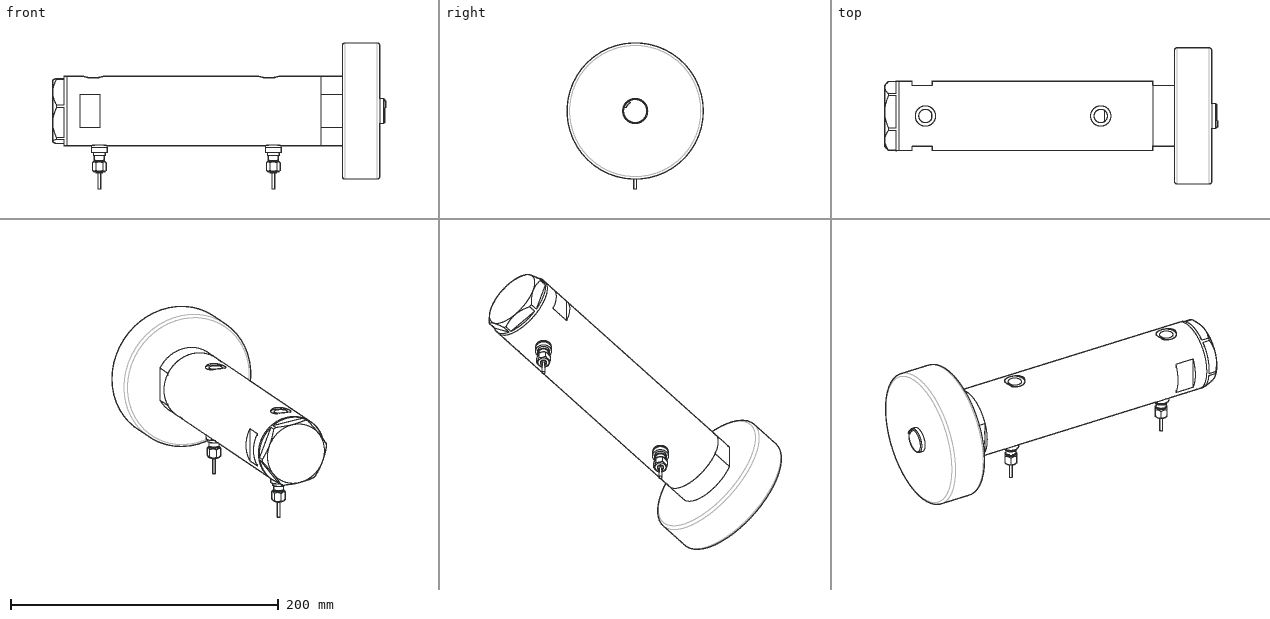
import cadquery as cq
import math


body_radius = 26.0
bore_radius = 17.0
gland_radius = 22.5
rod_radius = 11.5
wrench_across_flats = 45.6

cap_hex_length = 8.5
cap_collar_length = 2.1
tube_start = cap_hex_length + cap_collar_length
tube_end = 200.5
piston_end = 34.9
gland_start = 164.3
flange_start = 216.5
flange_thickness = 28.0
flange_end = flange_start + flange_thickness
overall_length = 249.02

cap_across_flats = 46.0
cap_chamfer_length = 2.9
cap_end_radius = 22.9
cap_corner_angle = 7.8

flat_start = 20.5
flat_length = 15.0

port_stations = (30.5, 161.5)
port_diameter = 10.0
spotface_diameter = 15.2
spotface_height = 24.8

flange_radius = 51.0
flange_fillet = 2.0
spigot_radius = 9.4
spigot_chamfer = 0.8
spigot_end = 248.2
key_inner_radius = 7.2
key_outer_radius = spigot_radius - spigot_chamfer
key_start_angle = 20.0
key_sweep = 40.0

sensor_stations = (34.9, 164.9)
sensor_seat_depth = 25.3
sensor_head_diameter = 11.7
sensor_head_rim_depth = 27.1
sensor_rim_diameter = 11.9
sensor_head_depth = 31.1
sensor_shoulder_diameter = 9.0
sensor_shoulder_depth = 33.4
sensor_body_diameter = 7.6
sensor_body_depth = 36.9
sensor_neck_diameter = 5.8
nut_top_depth = 37.6
nut_bottom_depth = 45.4
nut_across_flats = 9.0
nut_chamfer = 1.1
cable_sleeve_diameter = 4.6
cable_sleeve_depth = 46.2
cable_diameter = 2.2
cable_depth = 58.3


def cylinder_along_x(start, end, radius):
    return cq.Workplane("YZ").workplane(offset=start).circle(radius).extrude(end - start)


def cylinder_down(station, top_depth, bottom_depth, diameter):
    plane = cq.Workplane("XY", origin=(station, 0, -top_depth))
    return plane.circle(diameter / 2).extrude(top_depth - bottom_depth)


def hexagon_corner_diameter(flats):
    return flats / math.cos(math.radians(30))


def cut_wrench_flats(part, start, length):
    """Mill two parallel flats on the -Y and +Y sides."""
    cut_width = body_radius
    for side in (-1, 1):
        centre_y = side * (wrench_across_flats + cut_width) / 2
        block = cq.Workplane("XY").box(length, cut_width, 2 * body_radius)
        part = part.cut(block.translate((start + length / 2, centre_y, 0)))
    return part


def make_cap():
    """Hexagon with turned corners and a chamfered end, on a round collar."""
    turned = cylinder_along_x(cap_chamfer_length, cap_hex_length, body_radius)
    end_cone = (
        cq.Workplane("YZ")
        .circle(cap_end_radius)
        .workplane(offset=cap_chamfer_length)
        .circle(body_radius)
        .loft()
    )
    hexagon = (
        cq.Workplane("YZ")
        .polygon(6, hexagon_corner_diameter(cap_across_flats))
        .extrude(cap_hex_length)
        .rotate((0, 0, 0), (1, 0, 0), -cap_corner_angle)
    )
    collar = cylinder_along_x(cap_hex_length, tube_start, body_radius)
    return turned.union(end_cone).intersect(hexagon).union(collar)


def make_tube():
    """Tube with stepped bore, wrench flats, ports on top and sensor seats below."""
    tube = cylinder_along_x(tube_start, tube_end, body_radius)
    tube = cut_wrench_flats(tube, flat_start, flat_length)
    for station in port_stations:
        spotface = cylinder_down(station, -body_radius, -spotface_height, spotface_diameter)
        port = cylinder_down(station, -body_radius, 0, port_diameter)
        tube = tube.cut(spotface).cut(port)
    for station in sensor_stations:
        seat = cylinder_down(station, sensor_seat_depth, body_radius, sensor_head_diameter)
        tube = tube.cut(seat)
    bore = cylinder_along_x(tube_start, tube_end, bore_radius)
    gland_seat = cylinder_along_x(gland_start, tube_end, gland_radius)
    return tube.cut(bore).cut(gland_seat)


def make_gland():
    """Head that plugs the open end of the tube, guides the rod and carries wrench flats."""
    plug = cylinder_along_x(gland_start, tube_end, gland_radius)
    head = cylinder_along_x(tube_end, flange_start, body_radius)
    head = cut_wrench_flats(head, tube_end, flange_start - tube_end)
    rod_hole = cylinder_along_x(gland_start, flange_start, rod_radius)
    return plug.union(head).cut(rod_hole)


def make_flange():
    disc = cylinder_along_x(flange_start, flange_end, flange_radius).edges().fillet(flange_fillet)
    return disc.cut(cylinder_along_x(flange_start, flange_end, spigot_radius))


def make_end_key():
    """Raised ring sector on the end face of the spigot."""

    def point(radius, angle):
        turn = math.radians(angle)
        return (-radius * math.cos(turn), radius * math.sin(turn))

    middle_angle = key_start_angle + key_sweep / 2
    end_angle = key_start_angle + key_sweep
    return (
        cq.Workplane("YZ", origin=(spigot_end, 0, 0))
        .moveTo(*point(key_inner_radius, key_start_angle))
        .lineTo(*point(key_outer_radius, key_start_angle))
        .threePointArc(point(key_outer_radius, middle_angle), point(key_outer_radius, end_angle))
        .lineTo(*point(key_inner_radius, end_angle))
        .threePointArc(point(key_inner_radius, middle_angle), point(key_inner_radius, key_start_angle))
        .close()
        .extrude(overall_length - spigot_end)
    )


def make_piston_rod():
    piston = cylinder_along_x(tube_start, piston_end, bore_radius)
    rod = cylinder_along_x(piston_end, flange_start, rod_radius)
    spigot = cylinder_along_x(flange_start, spigot_end, spigot_radius).faces(">X").chamfer(spigot_chamfer)
    return piston.union(rod).union(spigot).union(make_end_key())


def make_sensor(station):
    """Stepped sensor body with a hexagon cable nut and a cable stub."""
    sections = (
        (sensor_head_rim_depth, sensor_head_diameter),
        (sensor_head_depth, sensor_rim_diameter),
        (sensor_shoulder_depth, sensor_shoulder_diameter),
        (sensor_body_depth, sensor_body_diameter),
        (nut_top_depth, sensor_neck_diameter),
    )
    top_depth = sensor_seat_depth
    sensor = cq.Workplane("XY")
    for bottom_depth, diameter in sections:
        sensor = sensor.union(cylinder_down(station, top_depth, bottom_depth, diameter))
        top_depth = bottom_depth

    nut_corners = hexagon_corner_diameter(nut_across_flats)
    turned = cylinder_down(station, nut_top_depth, nut_bottom_depth, nut_corners).edges().chamfer(nut_chamfer)
    nut = (
        cq.Workplane("XY", origin=(station, 0, -nut_bottom_depth))
        .polygon(6, nut_corners)
        .extrude(nut_bottom_depth - nut_top_depth)
        .intersect(turned)
    )
    sleeve = cylinder_down(station, nut_bottom_depth, cable_sleeve_depth, cable_sleeve_diameter)
    cable = cylinder_down(station, cable_sleeve_depth, cable_depth, cable_diameter)
    return sensor.union(nut).union(sleeve).union(cable)


cap = make_cap()
tube = make_tube()
gland = make_gland()
flange = make_flange()
piston_rod = make_piston_rod()
sensors = [make_sensor(station) for station in sensor_stations]

result = cq.Compound.makeCompound(
    [
        cap.val(),
        tube.val(),
        gland.val(),
        flange.val(),
        piston_rod.val(),
        *[sensor.val() for sensor in sensors],
    ]
)